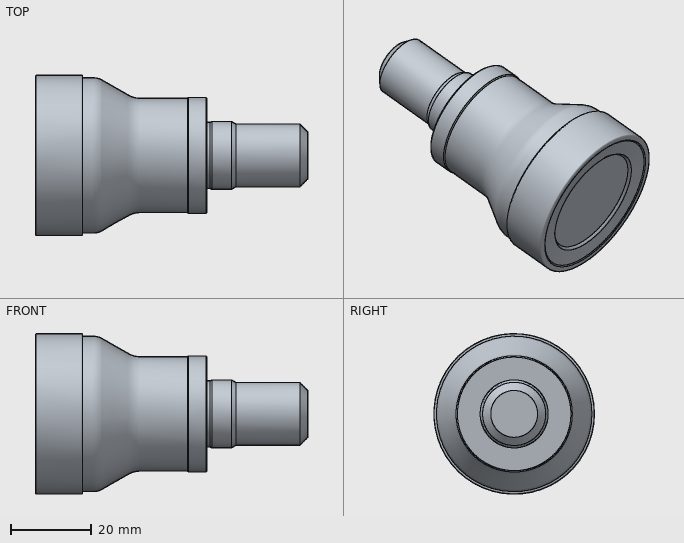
import cadquery as cq


total_length = 68.0

cap_radius = 20.05
cap_length = 11.75
cap_edge_round = 0.35
rim_inner_radius = 18.55
rim_outer_radius = 19.65
rim_slope_depth = 0.1
rim_step_depth = 0.2
rim_step_radius = 18.2
face_outer_radius = 18.0
window_edge_radius = 14.1
window_edge_chamfer = 0.2
window_radius = 13.5
cap_face_slope_depth = 0.5
window_wall_depth = 0.7
slope_start = rim_slope_depth + rim_step_depth
slope_end = slope_start + cap_face_slope_depth
window_depth = slope_end + window_wall_depth

head_radius = 38.8 / 2
head_end = 14.35
shoulder_end = 16.4
shoulder_end_radius = 18.95
shoulder_bulge_x = 15.4
shoulder_bulge_radius = 19.3
taper_end = 23.05
taper_end_radius = 15.15
neck_start = 25.8
neck_radius = 28.6 / 2
neck_bend_x = 24.4
neck_bend_radius = 14.55

flange_radius = 29.0 / 2
flange_start = 37.85
flange_end = 42.8
flange_chamfer = 0.35

collar_radius = 17.0 / 2
collar_start = 44.05
collar_end = 48.9
groove_radius = 16.6 / 2
groove_end = 43.6
stem_radius = 15.8 / 2
stem_start = 49.95
tip_chamfer = 2.05
tip_radius = stem_radius - tip_chamfer


def revolve_about_x(profile):
    return profile.close().revolve(360, (0, 0, 0), (1, 0, 0))


def make_cap():
    """Ring that covers the head, with a raised outer lip and a face sloping in to a round window."""
    profile = (
        cq.Workplane("XY")
        .moveTo(rim_slope_depth, rim_inner_radius)
        .lineTo(0, rim_outer_radius)
        .lineTo(0, cap_radius)
        .lineTo(cap_length, cap_radius)
        .lineTo(cap_length, head_radius)
        .lineTo(window_depth, head_radius)
        .lineTo(window_depth, window_radius)
        .lineTo(slope_end + window_edge_chamfer, window_edge_radius - window_edge_chamfer)
        .lineTo(slope_end, window_edge_radius)
        .lineTo(slope_start, face_outer_radius)
        .lineTo(slope_start, rim_step_radius)
    )
    ring = revolve_about_x(profile)
    outer_edges = cq.selectors.RadiusNthSelector(-1)
    return ring.edges("%CIRCLE").edges(outer_edges).fillet(cap_edge_round)


def make_body():
    """Head, tapered neck, flange and stem in one piece."""
    profile = (
        cq.Workplane("XY")
        .moveTo(window_depth, 0)
        .lineTo(window_depth, head_radius)
        .lineTo(head_end, head_radius)
        .threePointArc((shoulder_bulge_x, shoulder_bulge_radius), (shoulder_end, shoulder_end_radius))
        .lineTo(taper_end, taper_end_radius)
        .threePointArc((neck_bend_x, neck_bend_radius), (neck_start, neck_radius))
        .lineTo(flange_start, neck_radius)
        .lineTo(flange_start + flange_chamfer, flange_radius)
        .lineTo(flange_end - flange_chamfer, flange_radius)
        .lineTo(flange_end, flange_radius - flange_chamfer)
        .lineTo(flange_end, groove_radius)
        .lineTo(groove_end, groove_radius)
        .lineTo(collar_start, collar_radius)
        .lineTo(collar_end, collar_radius)
        .lineTo(stem_start, stem_radius)
        .lineTo(total_length - tip_chamfer, stem_radius)
        .lineTo(total_length, tip_radius)
        .lineTo(total_length, 0)
    )
    return revolve_about_x(profile)


cap = make_cap()
body = make_body()
result = cq.Compound.makeCompound([cap.val(), body.val()])